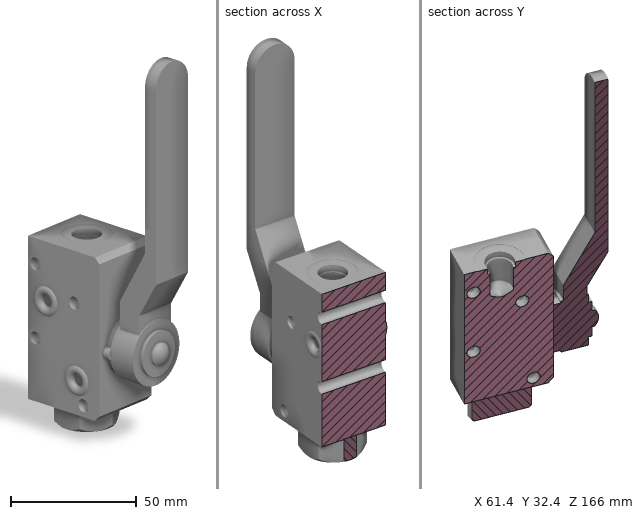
import cadquery as cq
import math

TOTAL_HEIGHT = 166.0

BLOCK_LENGTH = 38.0
BLOCK_HEIGHT = 69.9
BLOCK_FRONT_Y = -17.3
BLOCK_BACK_Y = 14.0
BLOCK_CHAMFER = 2.3

PORT_X = 16.0
SPOTFACE_RADIUS = 10.5
SPOTFACE_DEPTH = 0.2
PORT_MOUTH_RADIUS = 6.1
PORT_MOUTH_DEPTH = 3.0
PORT_RADIUS = 5.3
PORT_DEPTH = 15.0
DRILL_POINT_ANGLE = 118.0

MOUNTING_HOLE_DIAMETER = 5.5
MOUNTING_HOLES = [(4.0, 58.7), (4.0, 27.0), (24.7, 47.5), (29.5, 4.8)]

UPPER_PORT = (9.5, 44.3)
LOWER_PORT = (26.0, 14.6)
RING_MEAN_RADIUS = 4.6
RING_SECTION_RADIUS = 2.0
FRONT_RING_RISE = 0.8
BACK_RING_RISE = 0.3
SIDE_PORT_DEPTH = 2.8

HEX_FLATS = 23.9
HEX_HEIGHT = 10.5
HEX_CHAMFER_RADIUS = 11.8

HUB_Z = 28.5
COLLAR_RADIUS = 13.0
HUB_RADIUS = 14.0
HUB_START_X = 41.0
HUB_END_X = 53.0
WASHER_RADIUS = 9.6
WASHER_END_X = 54.5
SCREW_RADIUS = 4.8
SCREW_DOME_X = 55.5
SCREW_END_X = 57.5
STOP_PIN_RADIUS = 2.5
STOP_PIN_OFFSET = 12.8

ARM_WIDTH = 19.2
ARM_END_X = 61.4
GRIP_THICKNESS = 5.8
ROOT_START_X = 42.1
ROOT_END_X = 52.5
INNER_LOWER_BEND_Z = 50.5
INNER_UPPER_BEND_Z = 74.5
OUTER_LOWER_BEND_Z = 47.0
OUTER_UPPER_BEND_Z = 62.5

BLOCK_WIDTH = BLOCK_BACK_Y - BLOCK_FRONT_Y
ARM_TOP_Z = TOTAL_HEIGHT - HEX_HEIGHT


def cylinder_along(start, direction, radius, length):
    return cq.Workplane(cq.Solid.makeCylinder(radius, length, cq.Vector(*start), cq.Vector(*direction)))


def housing_block():
    block = cq.Workplane("XY").box(BLOCK_LENGTH, BLOCK_WIDTH, BLOCK_HEIGHT, centered=False)
    return block.translate((0, BLOCK_FRONT_Y, 0)).edges(">X and |Y").chamfer(BLOCK_CHAMFER)


def top_port():
    """Revolved cutter: spotface, widened mouth, bore and conical drill point."""
    top = BLOCK_HEIGHT
    point_height = PORT_RADIUS / math.tan(math.radians(DRILL_POINT_ANGLE / 2))
    profile = [
        (0, top),
        (SPOTFACE_RADIUS, top),
        (SPOTFACE_RADIUS, top - SPOTFACE_DEPTH),
        (PORT_MOUTH_RADIUS, top - SPOTFACE_DEPTH),
        (PORT_MOUTH_RADIUS, top - PORT_MOUTH_DEPTH),
        (PORT_RADIUS, top - PORT_MOUTH_DEPTH),
        (PORT_RADIUS, top - PORT_DEPTH),
        (0, top - PORT_DEPTH - point_height),
    ]
    cutter = cq.Workplane("XZ").polyline(profile).close().revolve(360, (0, 0, 0), (0, 1, 0))
    return cutter.translate((PORT_X, 0, 0))


def mounting_holes():
    holes = cq.Workplane("XZ", origin=(0, BLOCK_BACK_Y, 0)).pushPoints(MOUNTING_HOLES)
    return holes.circle(MOUNTING_HOLE_DIAMETER / 2).extrude(BLOCK_WIDTH)


def add_side_port(block, position, face_y, outward, rise):
    """Sink a blind port into a side face and seat a ring proud of that face by `rise`."""
    x, z = position
    inward = (0, -outward, 0)
    port = cylinder_along((x, face_y, z), inward, RING_MEAN_RADIUS, SIDE_PORT_DEPTH)
    ring_y = face_y + outward * (rise - RING_SECTION_RADIUS)
    ring_center = cq.Vector(x, ring_y, z)
    ring = cq.Solid.makeTorus(RING_MEAN_RADIUS, RING_SECTION_RADIUS, ring_center, cq.Vector(0, 1, 0))
    return block.cut(port).union(cq.Workplane(ring))


def make_housing():
    block = housing_block().cut(top_port()).cut(mounting_holes())
    for position in (UPPER_PORT, LOWER_PORT):
        block = add_side_port(block, position, BLOCK_FRONT_Y, -1, FRONT_RING_RISE)
    return add_side_port(block, UPPER_PORT, BLOCK_BACK_Y, 1, BACK_RING_RISE)


def make_plug():
    """Hexagonal plug head below the housing, coaxial with the top port."""
    corner_diameter = HEX_FLATS / math.cos(math.radians(30))
    prism = cq.Workplane("XY").polygon(6, corner_diameter).extrude(-HEX_HEIGHT)
    cone_top_radius = HEX_CHAMFER_RADIUS + HEX_HEIGHT
    cone_base = cq.Vector(0, 0, -HEX_HEIGHT)
    cone = cq.Solid.makeCone(HEX_CHAMFER_RADIUS, cone_top_radius, HEX_HEIGHT, cone_base)
    return prism.intersect(cq.Workplane(cone)).translate((PORT_X, 0, 0))


def spindle_and_hub():
    """Revolved stack along X: collar, hub, washer and domed screw head."""
    dome_height = SCREW_END_X - SCREW_DOME_X
    dome_radius = (SCREW_RADIUS**2 + dome_height**2) / (2 * dome_height)
    mid_radius = SCREW_RADIUS / 2
    mid_x = SCREW_END_X - dome_radius + math.sqrt(dome_radius**2 - mid_radius**2)
    profile = (
        cq.Workplane("XY")
        .moveTo(BLOCK_LENGTH, 0)
        .lineTo(BLOCK_LENGTH, COLLAR_RADIUS)
        .lineTo(HUB_START_X, COLLAR_RADIUS)
        .lineTo(HUB_START_X, HUB_RADIUS)
        .lineTo(HUB_END_X, HUB_RADIUS)
        .lineTo(HUB_END_X, WASHER_RADIUS)
        .lineTo(WASHER_END_X, WASHER_RADIUS)
        .lineTo(WASHER_END_X, SCREW_RADIUS)
        .lineTo(SCREW_DOME_X, SCREW_RADIUS)
        .threePointArc((mid_x, mid_radius), (SCREW_END_X, 0))
        .close()
    )
    return profile.revolve(360, (0, 0, 0), (1, 0, 0)).translate((0, 0, HUB_Z))


def lever_arm():
    """Cranked flat bar with a fully rounded free end."""
    grip_inner_x = ARM_END_X - GRIP_THICKNESS
    outline = [
        (ROOT_START_X, HUB_Z),
        (ROOT_START_X, INNER_LOWER_BEND_Z),
        (grip_inner_x, INNER_UPPER_BEND_Z),
        (grip_inner_x, ARM_TOP_Z),
        (ARM_END_X, ARM_TOP_Z),
        (ARM_END_X, OUTER_UPPER_BEND_Z),
        (ROOT_END_X, OUTER_LOWER_BEND_Z),
        (ROOT_END_X, HUB_Z),
    ]
    half_width = ARM_WIDTH / 2
    bar = cq.Workplane("XZ").polyline(outline).close().extrude(half_width, both=True)
    rounded_end = (
        cq.Workplane("YZ")
        .moveTo(-half_width, HUB_Z)
        .lineTo(-half_width, ARM_TOP_Z - half_width)
        .threePointArc((0, ARM_TOP_Z), (half_width, ARM_TOP_Z - half_width))
        .lineTo(half_width, HUB_Z)
        .close()
        .extrude(ARM_END_X)
    )
    return bar.intersect(rounded_end)


def make_lever():
    """Arm, hub and stop pin as one solid."""
    pin_start = (BLOCK_LENGTH, -STOP_PIN_OFFSET, HUB_Z)
    stop_pin = cylinder_along(pin_start, (1, 0, 0), STOP_PIN_RADIUS, HUB_START_X - BLOCK_LENGTH)
    return spindle_and_hub().union(lever_arm()).union(stop_pin)


housing = make_housing()
plug = make_plug()
lever = make_lever()

bodies = [housing, plug, lever]
result = cq.Compound.makeCompound([body.solids().val() for body in bodies])